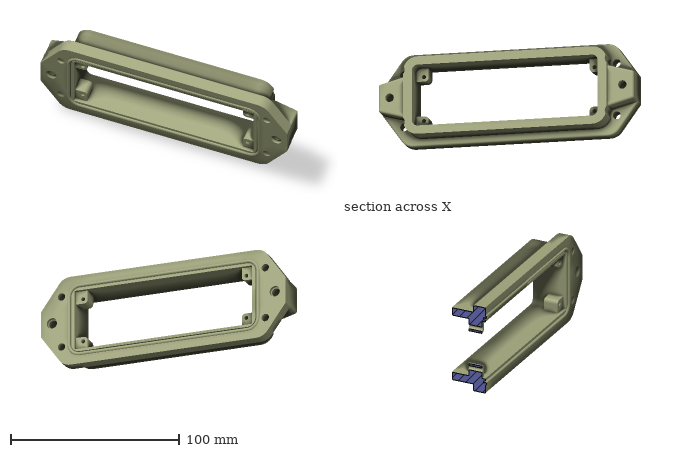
import cadquery as cq


LENGTH = 156.0
HEIGHT = 56.0
PLATE_THICKNESS = 8.1
TIP_HEIGHT = 16.5
TIP_TAPER_LENGTH = 14.2
PLATE_CORNER_RADIUS = 8.7
PLATE_BACK_FILLET = 1.0

COLLAR_LENGTH = 124.3
COLLAR_HEIGHT = 47.3
COLLAR_CORNER_RADIUS = 8.7
COLLAR_BACK = 22.2

WINDOW_LENGTH = 113.4
WINDOW_HEIGHT = 37.1
WINDOW_CORNER_RADIUS = 3.5

BEAD_RADIUS = 1.01
BEAD_PROUD = 0.8
BEAD_CORNER_RADIUS = 6.9
GROOVE_DEPTH = 1.1
GROOVE_CORNER_RADIUS = 5.3

CORNER_CENTER_X = COLLAR_LENGTH / 2 - COLLAR_CORNER_RADIUS
CORNER_CENTER_Z = COLLAR_HEIGHT / 2 - COLLAR_CORNER_RADIUS

LUG_BACK = 19.2
LUG_BASE_HEIGHT = 25.1
LUG_FILLET = 1.2
LUG_TIP_FILLET = 1.2
LUG_HOLE_X = 71.1
LUG_HOLE_DIAMETER = 5.1
LUG_COUNTERBORE_DIAMETER = 6.5
LUG_COUNTERBORE_DEPTH = 2.0

SCREW_X = 65.0
SCREW_Z = 15.9
SCREW_HOLE_DIAMETER = 4.7
SCREW_HEAD_CLEARANCE_RADIUS = 3.9

BOSS_FRONT = 2.2
BOSS_DEPTH = 9.0
BOSS_LENGTH = 7.5
BOSS_HEIGHT = 8.0
BOSS_FILLET = 2.3
BOSS_HOLE_X = 52.1
BOSS_HOLE_Z = 13.4
BOSS_HOLE_DIAMETER = 2.5

SIDES = (-1, 1)
CORNERS = [(i, k) for i in SIDES for k in SIDES]


def section(y):
    """Sketch plane at depth y, with X to the right and Z up; extrusions run towards -Y."""
    return cq.Workplane("XZ", origin=(0, y, 0))


def rounded_block(length, height, radius, front, back):
    block = section(back).rect(length, height).extrude(back - front)
    return block.edges("|Y").fillet(radius)


def cylinders(places, diameter, front, back):
    return section(back).pushPoints(places).circle(diameter / 2).extrude(back - front)


def plate():
    half_length = LENGTH / 2
    half_height = HEIGHT / 2
    shoulder = half_length - TIP_TAPER_LENGTH
    outline = [
        (half_length, TIP_HEIGHT / 2),
        (shoulder, half_height),
        (-shoulder, half_height),
        (-half_length, TIP_HEIGHT / 2),
        (-half_length, -TIP_HEIGHT / 2),
        (-shoulder, -half_height),
        (shoulder, -half_height),
        (half_length, -TIP_HEIGHT / 2),
    ]
    body = section(PLATE_THICKNESS).polyline(outline).close().extrude(PLATE_THICKNESS)
    body = body.edges("|Y").edges(">Z or <Z").fillet(PLATE_CORNER_RADIUS)
    return body.faces(">Y").edges().fillet(PLATE_BACK_FILLET)


def collar():
    body = rounded_block(COLLAR_LENGTH, COLLAR_HEIGHT, COLLAR_CORNER_RADIUS, 0, COLLAR_BACK)
    screws = [(i * SCREW_X, k * SCREW_Z) for i, k in CORNERS]
    return body.cut(cylinders(screws, 2 * SCREW_HEAD_CLEARANCE_RADIUS, 0, COLLAR_BACK))


def lug(side):
    """Tapered block behind the plate tip, rooted inside the collar wall."""
    tip = side * LENGTH / 2
    base = side * COLLAR_LENGTH / 2
    root = side * CORNER_CENTER_X
    outline = [
        (root, -LUG_BASE_HEIGHT / 2),
        (base, -LUG_BASE_HEIGHT / 2),
        (tip, -TIP_HEIGHT / 2),
        (tip, TIP_HEIGHT / 2),
        (base, LUG_BASE_HEIGHT / 2),
        (root, LUG_BASE_HEIGHT / 2),
    ]
    body = section(LUG_BACK).polyline(outline).close().extrude(LUG_BACK)
    tip_face = ">X" if side > 0 else "<X"
    body = body.faces(tip_face).edges("|Y").fillet(LUG_TIP_FILLET)
    return body.faces(">Y").edges().fillet(LUG_FILLET)


def window():
    """Passage with sharp corners ahead of the bosses and round corners behind."""
    sharp_mouth = section(BOSS_FRONT).rect(WINDOW_LENGTH, WINDOW_HEIGHT).extrude(BOSS_FRONT)
    passage = rounded_block(WINDOW_LENGTH, WINDOW_HEIGHT, WINDOW_CORNER_RADIUS, 0, COLLAR_BACK)
    return passage.union(sharp_mouth)


def ring_size(corner_radius):
    """Size of a rounded rectangle sharing the collar's corner centres."""
    return 2 * (CORNER_CENTER_X + corner_radius), 2 * (CORNER_CENTER_Z + corner_radius)


def groove():
    outer = rounded_block(*ring_size(BEAD_CORNER_RADIUS), BEAD_CORNER_RADIUS, 0, GROOVE_DEPTH)
    inner = rounded_block(*ring_size(GROOVE_CORNER_RADIUS), GROOVE_CORNER_RADIUS, 0, GROOVE_DEPTH)
    return outer.cut(inner)


def bead():
    center_y = BEAD_RADIUS - BEAD_PROUD
    length, height = ring_size(BEAD_CORNER_RADIUS)
    core = rounded_block(length, height, BEAD_CORNER_RADIUS, center_y, COLLAR_BACK)
    path = core.faces("<Y").wires()
    profile = cq.Workplane("YZ").center(center_y, height / 2).circle(BEAD_RADIUS)
    return profile.sweep(path)


def boss(side_x, side_z):
    center_x = side_x * (WINDOW_LENGTH - BOSS_LENGTH) / 2
    center_z = side_z * (WINDOW_HEIGHT - BOSS_HEIGHT) / 2
    block = section(BOSS_FRONT + BOSS_DEPTH).center(center_x, center_z)
    block = block.rect(BOSS_LENGTH, BOSS_HEIGHT).extrude(BOSS_DEPTH)
    inner_edge = cq.selectors.NearestToPointSelector((0, BOSS_FRONT + BOSS_DEPTH / 2, 0))
    return block.edges("|Y").edges(inner_edge).fillet(BOSS_FILLET)


def holes():
    lug_places = [(i * LUG_HOLE_X, 0) for i in SIDES]
    screw_places = [(i * SCREW_X, k * SCREW_Z) for i, k in CORNERS]
    boss_places = [(i * BOSS_HOLE_X, k * BOSS_HOLE_Z) for i, k in CORNERS]
    cutters = cylinders(lug_places, LUG_HOLE_DIAMETER, 0, LUG_BACK)
    cutters = cutters.union(cylinders(lug_places, LUG_COUNTERBORE_DIAMETER, 0, LUG_COUNTERBORE_DEPTH))
    cutters = cutters.union(cylinders(screw_places, SCREW_HOLE_DIAMETER, 0, PLATE_THICKNESS))
    return cutters.union(cylinders(boss_places, BOSS_HOLE_DIAMETER, 0, BOSS_FRONT + BOSS_DEPTH))


frame = plate().union(collar())
for side in SIDES:
    frame = frame.union(lug(side))
frame = frame.cut(window()).cut(groove()).union(bead())
for side_x, side_z in CORNERS:
    frame = frame.union(boss(side_x, side_z))
result = frame.cut(holes())